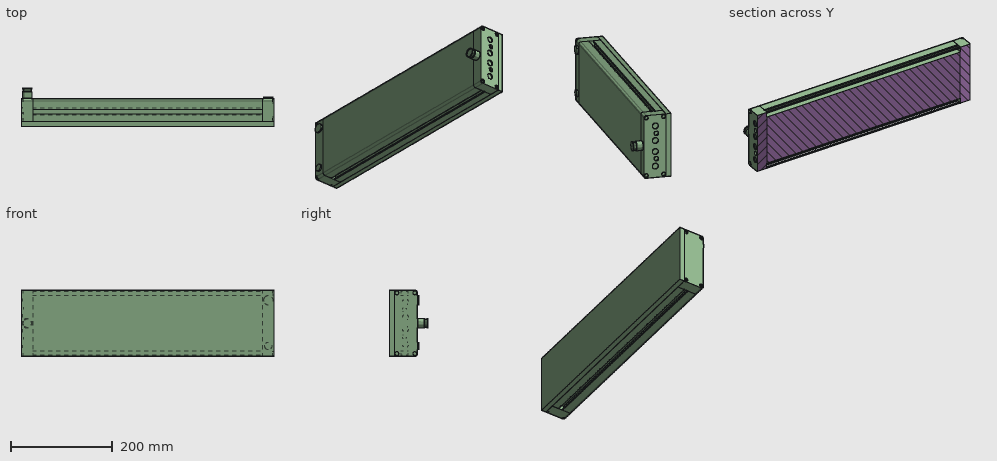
import cadquery as cq

LENGTH = 496.0
HEIGHT = 130.0
BODY_REAR = 55.0
PLATE_THICKNESS = 10.5
CAP_WIDTH = 23.0
REAR_EDGE_RADIUS = 4.5

SLOT_CENTRE_Y = 30.0
SLOT_MOUTH_WIDTH = 9.0
SLOT_LIP = 3.0
SLOT_INNER_WIDTH = 14.0
SLOT_DEPTH = 11.0

SCREW_DIAMETER = 7.5
SCREW_DEPTH = 3.0
SCREW_ROWS = (15.0, 50.0)
SCREW_HEIGHT = 59.5

LARGE_PORT_DIAMETER = 12.0
LARGE_PORT_Y = 31.5
LARGE_PORT_HEIGHTS = (11.5, 41.5)
SMALL_PORT_DIAMETER = 9.0
SMALL_PORT_Y = 30.0
SMALL_PORT_HEIGHT = 26.5
LARGE_PORT_DEPTH = 2.5
SMALL_PORT_DEPTH = 4.0

BARREL_DIAMETER = 19.5
BARREL_CHAMFER = 1.5
FLANGE_DIAMETER = 18.5
CONNECTOR_REAR = 76.5
BARREL_REAR = 70.0
FLANGE_THICKNESS = 2.0
NECK_DIAMETER = 16.5

BUTTON_HEIGHT = 3.0
UPPER_BUTTON_DIAMETER = 18.5
UPPER_BUTTON_Z = 45.0
LOWER_BUTTON_DIAMETER = 14.5
LOWER_BUTTON_Z = -44.5

LEFT_FACE = -LENGTH / 2
CAP_CENTRE = LENGTH / 2 - CAP_WIDTH / 2
PROFILE_LENGTH = LENGTH - 2 * CAP_WIDTH


def body_block(length, x_centre):
    """Bar behind the plate with its two long rear edges rounded."""
    depth = BODY_REAR - PLATE_THICKNESS
    return (
        cq.Workplane("XY")
        .box(length, depth, HEIGHT)
        .edges("|X and >Y")
        .fillet(REAR_EDGE_RADIUS)
        .translate((x_centre, PLATE_THICKNESS + depth / 2, 0))
    )


def rear_cylinder(x, z, diameter, y_start, y_end):
    """Cylinder along Y between two Y positions."""
    axis = cq.Vector(0, 1, 0)
    cylinder = cq.Solid.makeCylinder(diameter / 2, y_end - y_start, cq.Vector(x, y_start, z), axis)
    return cq.Workplane(obj=cylinder)


def left_bore(points, diameter, depth):
    """Bores into the left face at (y, z) points."""
    return (
        cq.Workplane("YZ", origin=(LEFT_FACE, 0, 0))
        .pushPoints(points)
        .circle(diameter / 2)
        .extrude(depth)
    )


def make_plate():
    return cq.Workplane("XY").box(LENGTH, PLATE_THICKNESS, HEIGHT).translate((0, PLATE_THICKNESS / 2, 0))


def t_slot():
    """Full-length T-slot cutter for the top face: a narrow mouth above a wider chamber."""
    top = HEIGHT / 2
    chamber_height = SLOT_DEPTH - SLOT_LIP
    mouth = cq.Workplane("XY").box(PROFILE_LENGTH, SLOT_MOUTH_WIDTH, SLOT_LIP)
    chamber = cq.Workplane("XY").box(PROFILE_LENGTH, SLOT_INNER_WIDTH, chamber_height)
    mouth = mouth.translate((0, SLOT_CENTRE_Y, top - SLOT_LIP / 2))
    chamber = chamber.translate((0, SLOT_CENTRE_Y, top - SLOT_LIP - chamber_height / 2))
    return mouth.union(chamber)


def make_profile():
    slot = t_slot()
    return body_block(PROFILE_LENGTH, 0).cut(slot).cut(slot.mirror("XY"))


def screw_recesses():
    """Round recesses in the four corners of the left face."""
    corners = [(y, side * SCREW_HEIGHT) for y in SCREW_ROWS for side in (-1, 1)]
    return left_bore(corners, SCREW_DIAMETER, SCREW_DEPTH)


def make_connector():
    """Round plug: barrel chamfered at both ends, narrower neck and end flange."""
    flange_start = CONNECTOR_REAR - FLANGE_THICKNESS
    barrel = rear_cylinder(-CAP_CENTRE, 0, BARREL_DIAMETER, BODY_REAR, BARREL_REAR)
    barrel = barrel.faces("<Y or >Y").chamfer(BARREL_CHAMFER)
    neck = rear_cylinder(-CAP_CENTRE, 0, NECK_DIAMETER, BARREL_REAR, flange_start)
    flange = rear_cylinder(-CAP_CENTRE, 0, FLANGE_DIAMETER, flange_start, CONNECTOR_REAR)
    return barrel.union(neck).union(flange)


def make_left_cap():
    cap = body_block(CAP_WIDTH, -CAP_CENTRE).cut(screw_recesses())

    large_ports = [(LARGE_PORT_Y, side * z) for z in LARGE_PORT_HEIGHTS for side in (-1, 1)]
    small_ports = [(SMALL_PORT_Y, side * SMALL_PORT_HEIGHT) for side in (-1, 1)]
    cap = cap.cut(left_bore(large_ports, LARGE_PORT_DIAMETER, LARGE_PORT_DEPTH))
    cap = cap.cut(left_bore(small_ports, SMALL_PORT_DIAMETER, SMALL_PORT_DEPTH))

    return cap.union(make_connector())


def make_right_cap():
    cap = body_block(CAP_WIDTH, CAP_CENTRE).cut(screw_recesses().mirror("YZ"))
    button_rear = BODY_REAR + BUTTON_HEIGHT
    cap = cap.union(rear_cylinder(CAP_CENTRE, UPPER_BUTTON_Z, UPPER_BUTTON_DIAMETER, BODY_REAR, button_rear))
    return cap.union(rear_cylinder(CAP_CENTRE, LOWER_BUTTON_Z, LOWER_BUTTON_DIAMETER, BODY_REAR, button_rear))


plate = make_plate()
profile = make_profile()
left_cap = make_left_cap()
right_cap = make_right_cap()

result = cq.Compound.makeCompound([plate.val(), profile.val(), left_cap.val(), right_cap.val()])